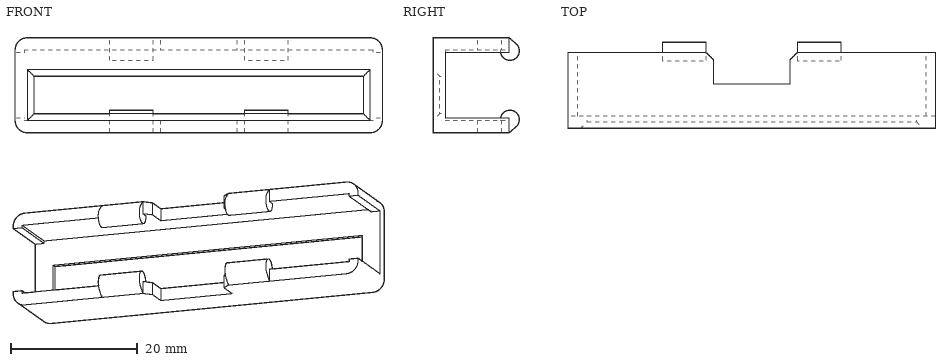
import cadquery as cq
import math

length = 58.0
height = 15.0
depth = 12.0
wall = 2.0
corner_radius = 2.0

lip_thickness = 2.4
lip_width = 1.5

window_height = 8.0
window_bevel = 1.05

notch_width = 12.0
notch_depth = 5.0

hook_width = 6.9
hook_gap = 14.4
hook_radius = 1.5
hook_reach = 13.65
hook_depth = 3.6
notch_chamfer = (hook_gap - notch_width) / 2


def box(x_size, y_start, y_end, z_start, z_end):
    """Block centred on X with the given Y and Z limits."""
    block = cq.Workplane("XY").box(x_size, y_end - y_start, z_end - z_start, centered=(True, False, False))
    return block.translate((0, y_start, z_start))


def make_shell():
    shell = box(length, 0, depth, 0, height).edges("|Y").fillet(corner_radius)
    shell = shell.cut(box(length, wall, depth, lip_thickness, height - lip_thickness))
    return shell.cut(box(length - 2 * lip_width, wall, depth, wall, height - wall))


def make_window():
    width = length - 2 * wall
    throat_width = width - 2 * window_bevel
    throat_height = window_height - 2 * window_bevel
    center_z = wall + window_height / 2
    throat = box(throat_width, 0, wall, center_z - throat_height / 2, center_z + throat_height / 2)
    bevel = (
        cq.Workplane("XZ", origin=(0, 0, center_z))
        .rect(width, window_height)
        .workplane(offset=-window_bevel)
        .rect(throat_width, throat_height)
        .loft(ruled=True)
    )
    return throat.union(bevel)


def make_notch():
    half_width = notch_width / 2
    half_mouth = hook_gap / 2
    return (
        cq.Workplane("XY")
        .polyline([
            (-half_width, depth - notch_depth),
            (half_width, depth - notch_depth),
            (half_width, depth - notch_chamfer),
            (half_mouth, depth),
            (-half_mouth, depth),
            (-half_width, depth - notch_chamfer),
        ])
        .close()
        .extrude(height)
    )


def make_bottom_hook(x_start):
    """Round bead joined to the flange's outer back corner by a tangent ramp."""
    center_y = hook_reach - hook_radius
    center_z = hook_depth - hook_radius

    corner_y = depth - center_y
    corner_z = -center_z
    corner_distance = math.hypot(corner_y, corner_z)
    tangent_angle = math.atan2(corner_z, corner_y) + math.acos(hook_radius / corner_distance)
    tangent_y = center_y + hook_radius * math.cos(tangent_angle)
    tangent_z = center_z + hook_radius * math.sin(tangent_angle)

    plane = cq.Workplane("YZ", origin=(x_start, 0, 0))
    bead = plane.center(center_y, center_z).circle(hook_radius).extrude(hook_width)
    ramp = (
        plane.polyline([(depth, 0), (tangent_y, tangent_z), (center_y, center_z), (depth, center_z)])
        .close()
        .extrude(hook_width)
    )
    return bead.union(ramp)


result = make_shell().cut(make_window()).cut(make_notch())
for hook_start in (-hook_gap / 2 - hook_width, hook_gap / 2):
    bottom_hook = make_bottom_hook(hook_start)
    top_hook = bottom_hook.mirror("XY", (0, 0, height / 2))
    result = result.union(bottom_hook).union(top_hook)